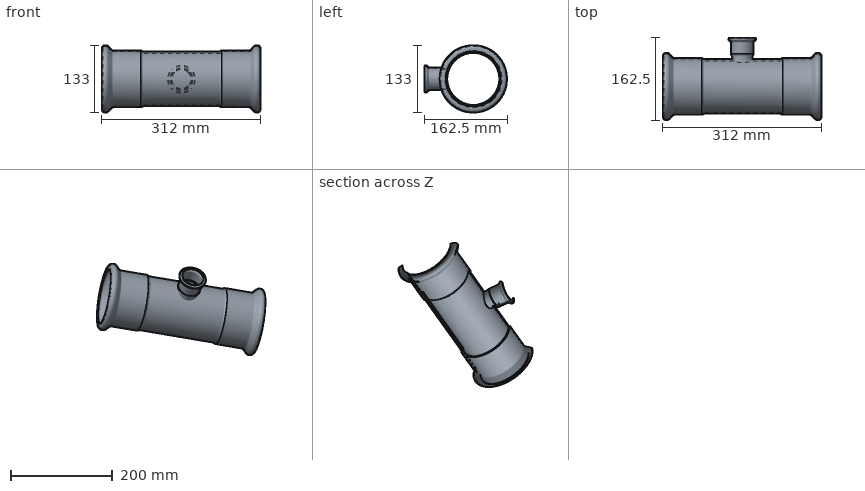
import cadquery as cq
import math

run_length = 312.0
run_flange_diameter = 133.0
run_socket_diameter = 112.0
run_pipe_diameter = 108.0
run_bore_diameter = 101.7
run_wall = 2.0
run_lip_width = 4.7
run_bead_radius = 7.5
run_flare_bend = 3.0
run_socket_end = 76.5
run_step_bend = 2.5

branch_reach = 162.5 - run_flange_diameter / 2
branch_flange_diameter = 54.3
branch_socket_diameter = 45.0
branch_pipe_diameter = 41.5
branch_bore_diameter = 37.8
branch_wall = 1.2
branch_lip_width = 2.8
branch_bead_radius = 3.0
branch_flare_bend = 2.0
branch_socket_end = 32.0
branch_step_bend = 1.5
branch_weld_radius = 1.2

flare_angle = 45.0
step_angle = 30.0


class WallPath:
    """Path along the outer skin, with a parallel inner skin one wall to its right.

    Points are (distance from mouth, radius). Headings are in degrees, 90 being outward.
    """

    def __init__(self, start, heading, wall):
        self.point = start
        self.heading = heading
        self.wall = wall
        self.outer_points = [start]
        self.inner_points = [self.inner_point(start, heading)]
        self.is_arc = []

    def inner_point(self, point, heading):
        angle = math.radians(heading)
        return (point[0] + self.wall * math.sin(angle), point[1] - self.wall * math.cos(angle))

    def add_point(self, point, heading):
        self.outer_points.append(point)
        self.inner_points.append(self.inner_point(point, heading))

    def straight(self, length):
        angle = math.radians(self.heading)
        x, r = self.point
        self.point = (x + length * math.cos(angle), r + length * math.sin(angle))
        self.add_point(self.point, self.heading)
        self.is_arc.append(False)

    def bend(self, turn, radius):
        """Turn left (positive) or right (negative) with the given outer skin radius."""
        side = math.copysign(radius, turn)
        start_angle = math.radians(self.heading)
        centre_x = self.point[0] - side * math.sin(start_angle)
        centre_r = self.point[1] + side * math.cos(start_angle)
        for heading in (self.heading + turn / 2, self.heading + turn):
            angle = math.radians(heading)
            self.point = (centre_x + side * math.sin(angle), centre_r - side * math.cos(angle))
            self.add_point(self.point, heading)
        self.heading += turn
        self.is_arc.append(True)


def draw_skin(outline, points, is_arc):
    """Continue an outline through points, using two points for each arc."""
    index = 1
    for arc in is_arc:
        if arc:
            outline = outline.threePointArc(points[index], points[index + 1])
            index += 2
        else:
            outline = outline.lineTo(*points[index])
            index += 1
    return outline


def bend_drop(radius, angle):
    """Change of radius across a bend between axial and the given angle."""
    return radius * (1 - math.cos(math.radians(angle)))


def socket_path(flange_radius, socket_radius, wall, lip_width, bead_radius, flare_bend, socket_end):
    """Path from the inner edge of the mouth lip, round the bead and along the socket."""
    path = WallPath((0, flange_radius - bead_radius - lip_width), 90, wall)
    path.straight(lip_width)
    path.bend(-90 - flare_angle, bead_radius)
    flare_drop = path.point[1] - socket_radius - bend_drop(flare_bend, flare_angle)
    path.straight(flare_drop / math.sin(math.radians(flare_angle)))
    path.bend(flare_angle, flare_bend)
    path.straight(socket_end - path.point[0])
    return path


def add_pipe(path, pipe_radius, step_bend, length):
    """Continue a socket path down the reduction and along the pipe."""
    path.bend(-step_angle, step_bend)
    step_drop = path.point[1] - pipe_radius - bend_drop(step_bend, step_angle)
    path.straight(step_drop / math.sin(math.radians(step_angle)))
    path.bend(step_angle, step_bend)
    path.straight(length - path.point[0])


def revolve_skin(points, is_arc):
    """Solid of revolution about X bounded by one skin, with flat ends."""
    outline = cq.Workplane("XY").moveTo(points[0][0], 0).lineTo(*points[0])
    outline = draw_skin(outline, points, is_arc).lineTo(points[-1][0], 0).close()
    return outline.revolve(360, (0, 0, 0), (1, 0, 0))


def hollow_parts(path, pipe_radius, bore_radius, step_bend, length):
    """Filled outer body and the bore that empties it, from a socket path."""
    socket_bore = revolve_skin(path.inner_points, path.is_arc)
    lip_depth, mouth_radius = path.inner_points[0]
    mouth = cq.Workplane("YZ").circle(mouth_radius).extrude(lip_depth)
    pipe_bore = cq.Workplane("YZ").circle(bore_radius).extrude(length)
    bore = socket_bore.union(mouth).union(pipe_bore)
    add_pipe(path, pipe_radius, step_bend, length)
    outer = revolve_skin(path.outer_points, path.is_arc)
    return outer, bore


def place_run(half):
    """Move a half run to the -X end and add its mirror image."""
    left = half.translate((-run_length / 2, 0, 0))
    return left.union(left.mirror("YZ"))


def place_branch(body):
    """Stand a body on +Y with its mouth at the branch reach, facing outward."""
    return body.rotate((0, 0, 0), (0, 0, 1), -90).translate((0, branch_reach, 0))


run_socket = socket_path(
    run_flange_diameter / 2, run_socket_diameter / 2, run_wall, run_lip_width,
    run_bead_radius, run_flare_bend, run_socket_end)
run_outer, run_bore = hollow_parts(
    run_socket, run_pipe_diameter / 2, run_bore_diameter / 2, run_step_bend, run_length / 2)

branch_socket = socket_path(
    branch_flange_diameter / 2, branch_socket_diameter / 2, branch_wall, branch_lip_width,
    branch_bead_radius, branch_flare_bend, branch_socket_end)
branch_outer, branch_bore = hollow_parts(
    branch_socket, branch_pipe_diameter / 2, branch_bore_diameter / 2, branch_step_bend, branch_reach)

body = place_run(run_outer).union(place_branch(branch_outer))

weld_margin = 1.5
weld_half_width = branch_pipe_diameter / 2 + weld_margin
weld_high = run_pipe_diameter / 2 + weld_margin
weld_low = math.sqrt(run_pipe_diameter ** 2 - branch_pipe_diameter ** 2) / 2 - weld_margin
weld_box = cq.selectors.BoxSelector(
    (-weld_half_width, weld_low, -weld_half_width),
    (weld_half_width, weld_high, weld_half_width),
    boundingbox=True)
body = body.edges(weld_box).fillet(branch_weld_radius)

result = body.cut(place_run(run_bore)).cut(place_branch(branch_bore))